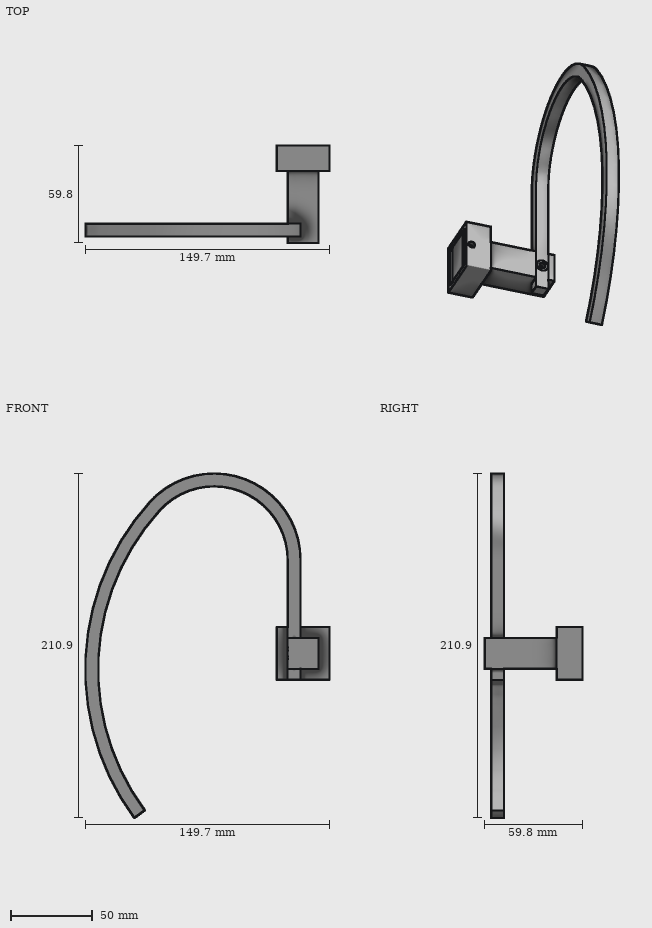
import cadquery as cq
import math


base_side = 32.5
base_depth = 15.8
base_edge_radius = 0.6
grub_hole_diameter = 4.0
grub_hole_from_wall = 3.4

bracket_side = 25.3
bracket_thickness = 6.0
bracket_bevel = 4.0

arm_side = 19.0
arm_length = 44.0

bar_side = 8.0
bar_front_from_arm_end = 4.0
bend_inner_radius = 45.0
bend_angle = 137.7
sweep_outer_radius = 152.5
sweep_angle = 78.9
top_height = 110.1

screw_diameter = 7.2
screw_length = 12.7
socket_diameter = 3.5
socket_depth = 3.2

bar_left = -arm_side / 2
bar_right = bar_left + bar_side
bar_bottom = -base_side / 2
bar_front = -base_depth - arm_length + bar_front_from_arm_end
bar_back = bar_front + bar_side
bar_centre_y = (bar_front + bar_back) / 2
bend_outer_radius = bend_inner_radius + bar_side
bend_centre = (bar_right - bend_outer_radius, top_height - bend_outer_radius)


def polar(centre, radius, degrees):
    """Point at a radius and an angle from +X around a centre in the XZ plane."""
    angle = math.radians(degrees)
    return (centre[0] + radius * math.cos(angle), centre[1] + radius * math.sin(angle))


def block(x_size, z_size, y_front, y_back):
    """Rectangular block centred on the Y axis."""
    y_size = y_back - y_front
    return cq.Workplane("XY").box(x_size, y_size, z_size).translate((0, (y_front + y_back) / 2, 0))


def cylinder_along_x(diameter, x_start, length, y):
    """Cylinder that runs in +X at mid height."""
    return cq.Workplane("YZ", origin=(x_start, y, 0)).circle(diameter / 2).extrude(length)


def make_base():
    body = block(base_side, base_side, -base_depth, 0).edges("|Y").fillet(base_edge_radius)
    recess = block(bracket_side, bracket_side, -bracket_thickness, 0)
    wall = (base_side - bracket_side) / 2
    grub_hole = cylinder_along_x(grub_hole_diameter, -base_side / 2, wall, -grub_hole_from_wall)
    return body.cut(recess).cut(grub_hole)


def make_bracket():
    half_front = bracket_side / 2
    half_back = half_front - bracket_bevel
    outline = [
        (-half_front, -bracket_thickness),
        (half_front, -bracket_thickness),
        (half_back, 0),
        (-half_back, 0),
    ]
    return cq.Workplane("XY").polyline(outline).close().extrude(bracket_side / 2, both=True)


def screw_cylinder():
    """Full screw volume, from the left face of the bar into the arm."""
    return cylinder_along_x(screw_diameter, bar_left, screw_length, bar_centre_y)


def make_bar():
    sweep_centre = polar(bend_centre, bend_outer_radius - sweep_outer_radius, bend_angle)
    sweep_inner_radius = sweep_outer_radius - bar_side
    sweep_middle = bend_angle + sweep_angle / 2
    sweep_end = bend_angle + sweep_angle
    outline = (
        cq.Workplane("XZ", origin=(0, bar_back, 0))
        .moveTo(bar_right, bar_bottom)
        .lineTo(*polar(bend_centre, bend_outer_radius, 0))
        .threePointArc(
            polar(bend_centre, bend_outer_radius, bend_angle / 2),
            polar(bend_centre, bend_outer_radius, bend_angle),
        )
        .threePointArc(
            polar(sweep_centre, sweep_outer_radius, sweep_middle),
            polar(sweep_centre, sweep_outer_radius, sweep_end),
        )
        .lineTo(*polar(sweep_centre, sweep_inner_radius, sweep_end))
        .threePointArc(
            polar(sweep_centre, sweep_inner_radius, sweep_middle),
            polar(sweep_centre, sweep_inner_radius, bend_angle),
        )
        .threePointArc(
            polar(bend_centre, bend_inner_radius, bend_angle / 2),
            polar(bend_centre, bend_inner_radius, 0),
        )
        .lineTo(bar_left, bar_bottom)
        .close()
    )
    return outline.extrude(bar_side).cut(screw_cylinder())


def make_arm():
    body = block(arm_side, arm_side, -base_depth - arm_length, -base_depth)
    notch = block(bar_side, arm_side, bar_front, bar_back).translate((bar_left + bar_side / 2, 0, 0))
    return body.cut(notch).cut(screw_cylinder())


def make_screw():
    socket = cylinder_along_x(socket_diameter, bar_left, socket_depth, bar_centre_y)
    return screw_cylinder().cut(socket)


base = make_base()
bracket = make_bracket()
arm = make_arm()
bar = make_bar()
screw = make_screw()

result = cq.Compound.makeCompound([base.val(), bracket.val(), arm.val(), bar.val(), screw.val()])